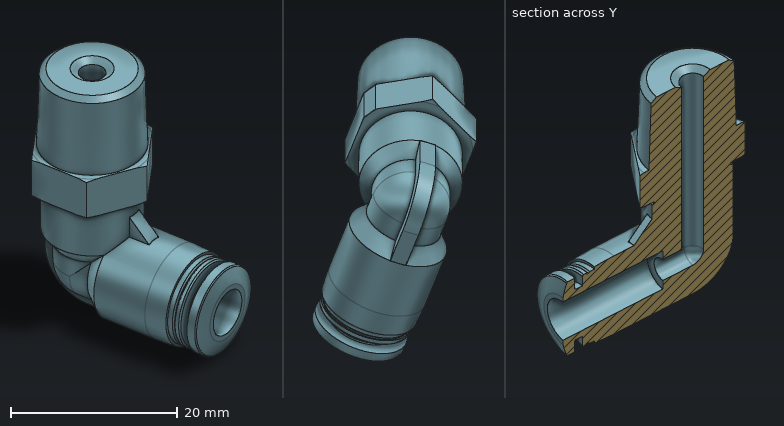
import cadquery as cq
import math


STUD_TOP = 28.0
THREAD_TAPER = 1 / 16
THREAD_BASE_RADIUS = 6.73
THREAD_TIP_CHAMFER_RADIAL = 0.85
THREAD_TIP_CHAMFER_HEIGHT = 0.6
HEX_SIDES = 6
HEX_ACROSS_FLATS = 14.0
HEX_BOTTOM = 11.5
HEX_HEIGHT = 5.5
HEX_TOP = HEX_BOTTOM + HEX_HEIGHT
HEX_CHAMFER_RADIUS = 7.5
HEX_CHAMFER_ANGLE = 15.0
HEX_CORNER_FLAT_DISTANCE = 7.54
HEX_CORNER_FLAT_ANGLE = 120.0
NECK_RADIUS = 5.9

HOUSING_RADIUS = 6.25
ELBOW_RADIUS = 4.75
CONE_LENGTH = 2.0
UPRIGHT_TOP = 11.2
UPRIGHT_BOTTOM = 4.7
ARM_START = 4.6
ARM_END = 12.1
ARM_LIP_END = 15.1
ARM_LIP_RADIUS = 6.1
RIB_THICKNESS = 2.0
GUSSET_REACH = 9.0

COLLAR_RADIUS = 5.75
COLLAR_CHAMFER = 0.2
COLLAR_GROOVE_START = 16.0
COLLAR_GROOVE_END = 16.2
COLLAR_END = 16.92
SLEEVE_RADIUS = 4.05
SLEEVE_ROOT_CHAMFER = 0.15
FLANGE_RADIUS = 5.9
FLANGE_START = 18.05
FLANGE_RIM_END = 19.35
FLANGE_DOME_RADIUS = 3.7
FLANGE_EDGE_CHAMFER = 0.15
FLANGE_DOME_MIDDLE_FRACTION = 0.6
TUBE_END = 19.9

BORE_RADIUS = 1.65
BORE_MOUTH_RADIUS = 2.65
BORE_MOUTH_DEPTH = 0.6
TUBE_BORE_RADIUS = 3.0


def revolve_about_z(profile):
    return profile.close().revolve(360, (0, 0, 0), (0, 1, 0))


def revolve_about_x(profile):
    return profile.close().revolve(360, (0, 0, 0), (1, 0, 0))


def threaded_stud():
    cone_top = STUD_TOP - THREAD_TIP_CHAMFER_HEIGHT
    cone_top_radius = THREAD_BASE_RADIUS - (cone_top - HEX_TOP) * THREAD_TAPER / 2
    return revolve_about_z(
        cq.Workplane("XZ")
        .moveTo(0, UPRIGHT_TOP)
        .lineTo(NECK_RADIUS, UPRIGHT_TOP)
        .lineTo(NECK_RADIUS, HEX_TOP)
        .lineTo(THREAD_BASE_RADIUS, HEX_TOP)
        .lineTo(cone_top_radius, cone_top)
        .lineTo(cone_top_radius - THREAD_TIP_CHAMFER_RADIAL, STUD_TOP)
        .lineTo(0, STUD_TOP)
    )


def hexagon():
    corner_radius = HEX_ACROSS_FLATS / 2 / math.cos(math.pi / HEX_SIDES)
    prism = (
        cq.Workplane("XY", origin=(0, 0, HEX_BOTTOM))
        .polygon(HEX_SIDES, 2 * corner_radius)
        .extrude(HEX_HEIGHT)
    )
    chamfer_drop = (corner_radius - HEX_CHAMFER_RADIUS) * math.tan(math.radians(HEX_CHAMFER_ANGLE))
    envelope = revolve_about_z(
        cq.Workplane("XZ")
        .moveTo(0, HEX_BOTTOM)
        .lineTo(HEX_CHAMFER_RADIUS, HEX_BOTTOM)
        .lineTo(corner_radius, HEX_BOTTOM + chamfer_drop)
        .lineTo(corner_radius, HEX_TOP - chamfer_drop)
        .lineTo(HEX_CHAMFER_RADIUS, HEX_TOP)
        .lineTo(0, HEX_TOP)
    )
    corner_cut = (
        cq.Workplane("XY", origin=(0, 0, HEX_BOTTOM))
        .rect(corner_radius, HEX_ACROSS_FLATS)
        .extrude(HEX_HEIGHT)
        .translate((HEX_CORNER_FLAT_DISTANCE + corner_radius / 2, 0, 0))
        .rotate((0, 0, 0), (0, 0, 1), HEX_CORNER_FLAT_ANGLE)
    )
    return prism.intersect(envelope).cut(corner_cut)


def upright_arm():
    return revolve_about_z(
        cq.Workplane("XZ")
        .lineTo(ELBOW_RADIUS, 0)
        .lineTo(ELBOW_RADIUS, UPRIGHT_BOTTOM - CONE_LENGTH)
        .lineTo(HOUSING_RADIUS, UPRIGHT_BOTTOM)
        .lineTo(HOUSING_RADIUS, UPRIGHT_TOP)
        .lineTo(0, UPRIGHT_TOP)
    )


def tube_arm():
    lip_drop = HOUSING_RADIUS - ARM_LIP_RADIUS
    lip_middle = ((ARM_END + ARM_LIP_END) / 2, HOUSING_RADIUS - lip_drop / 4)
    return revolve_about_x(
        cq.Workplane("XZ")
        .lineTo(0, ELBOW_RADIUS)
        .lineTo(ARM_START - CONE_LENGTH, ELBOW_RADIUS)
        .lineTo(ARM_START, HOUSING_RADIUS)
        .lineTo(ARM_END, HOUSING_RADIUS)
        .threePointArc(lip_middle, (ARM_LIP_END, ARM_LIP_RADIUS))
        .lineTo(ARM_LIP_END, 0)
    )


def collar_and_sleeve():
    groove_radius = COLLAR_RADIUS - COLLAR_CHAMFER
    dome_start_radius = FLANGE_RADIUS - FLANGE_EDGE_CHAMFER
    dome_middle_radius = (dome_start_radius + FLANGE_DOME_RADIUS) / 2
    dome_middle_x = FLANGE_RIM_END + FLANGE_DOME_MIDDLE_FRACTION * (TUBE_END - FLANGE_RIM_END)
    return revolve_about_x(
        cq.Workplane("XZ")
        .moveTo(ARM_LIP_END, 0)
        .lineTo(ARM_LIP_END, COLLAR_RADIUS)
        .lineTo(COLLAR_GROOVE_START - COLLAR_CHAMFER, COLLAR_RADIUS)
        .lineTo(COLLAR_GROOVE_START, groove_radius)
        .lineTo(COLLAR_GROOVE_END, groove_radius)
        .lineTo(COLLAR_GROOVE_END, COLLAR_RADIUS)
        .lineTo(COLLAR_END - COLLAR_CHAMFER, COLLAR_RADIUS)
        .lineTo(COLLAR_END, groove_radius)
        .lineTo(COLLAR_END, SLEEVE_RADIUS)
        .lineTo(FLANGE_START - SLEEVE_ROOT_CHAMFER, SLEEVE_RADIUS)
        .lineTo(FLANGE_START, SLEEVE_RADIUS + SLEEVE_ROOT_CHAMFER)
        .lineTo(FLANGE_START, FLANGE_RADIUS)
        .lineTo(FLANGE_RIM_END - FLANGE_EDGE_CHAMFER, FLANGE_RADIUS)
        .lineTo(FLANGE_RIM_END, dome_start_radius)
        .threePointArc((dome_middle_x, dome_middle_radius), (TUBE_END, FLANGE_DOME_RADIUS))
        .lineTo(TUBE_END, 0)
    )


def centre_plate(profile):
    return profile.close().extrude(RIB_THICKNESS / 2, both=True)


def outer_rib():
    diagonal = HOUSING_RADIUS * math.sqrt(0.5)
    return centre_plate(
        cq.Workplane("XZ")
        .lineTo(0, UPRIGHT_BOTTOM)
        .lineTo(-HOUSING_RADIUS, UPRIGHT_BOTTOM)
        .lineTo(-HOUSING_RADIUS, 0)
        .threePointArc((-diagonal, -diagonal), (0, -HOUSING_RADIUS))
        .lineTo(ARM_START, -HOUSING_RADIUS)
        .lineTo(ARM_START, 0)
    )


def inner_gusset():
    slope_sum = GUSSET_REACH + HOUSING_RADIUS
    return centre_plate(
        cq.Workplane("XZ")
        .moveTo(ARM_START, UPRIGHT_BOTTOM)
        .lineTo(slope_sum - UPRIGHT_BOTTOM, UPRIGHT_BOTTOM)
        .lineTo(ARM_START, slope_sum - ARM_START)
    )


def flow_passage():
    mouth_bottom = STUD_TOP - BORE_MOUTH_DEPTH
    stud_bore = revolve_about_z(
        cq.Workplane("XZ")
        .lineTo(BORE_RADIUS, 0)
        .lineTo(BORE_RADIUS, mouth_bottom)
        .lineTo(BORE_MOUTH_RADIUS, STUD_TOP)
        .lineTo(0, STUD_TOP)
    )
    tube_bore = revolve_about_x(
        cq.Workplane("XZ")
        .lineTo(0, BORE_RADIUS)
        .lineTo(ARM_START, BORE_RADIUS)
        .lineTo(ARM_START, TUBE_BORE_RADIUS)
        .lineTo(TUBE_END, TUBE_BORE_RADIUS)
        .lineTo(TUBE_END, 0)
    )
    return stud_bore.union(tube_bore).union(cq.Workplane("XY").sphere(BORE_RADIUS))


body = (
    upright_arm()
    .union(tube_arm())
    .union(cq.Workplane("XY").sphere(ELBOW_RADIUS))
    .union(outer_rib())
    .union(inner_gusset())
    .union(threaded_stud())
    .union(hexagon())
    .union(collar_and_sleeve())
)
result = body.cut(flow_passage())